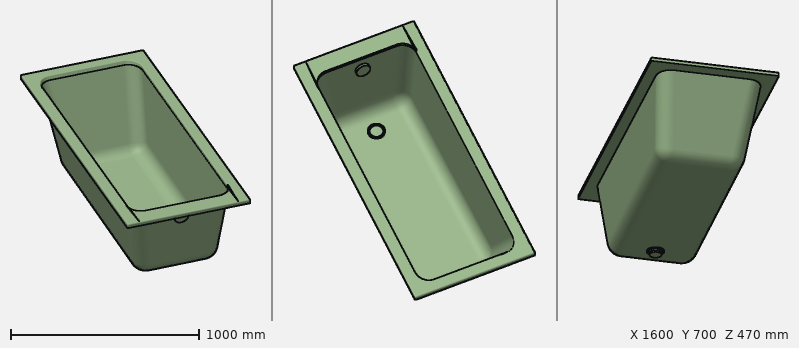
import cadquery as cq
import math


RIM_LENGTH = 1600.0
RIM_WIDTH = 700.0
RIM_HEIGHT = 24.0
RIM_ROUND = 8.0
OVERALL_HEIGHT = 470.0

WALL = 5.0
HEAD_X = -740.0
FOOT_X = 704.0
HALF_WIDTH = 290.0
HEAD_SLOPE = 0.53
FOOT_SLOPE = 0.13
SIDE_SLOPE = 0.12
FLOOR_DEPTH = 445.0
FLOOR_FALL = 0.015
BASIN_ROUND = 83.0
LIP_ROUND = 6.0
CUT_MARGIN = 16.0

DECK_DEPTH = 3.0
DECK_HALF_WIDTH = 282.0
DECK_SIDE_SLOPE = 1.2

DRAIN_X = 500.0
FLANGE_RADIUS = 46.0
FLANGE_PROUD = 2.0
PLUG_RADIUS = 37.0
PLUG_THICKNESS = 5.0
PLUG_CROWN = 2.0
NECK_RADIUS = 40.0
SPIGOT_RADIUS = 32.0

CAP_RADIUS = 40.0
CAP_THICKNESS = 16.0
CAP_DEPTH = 96.0


def normal_stretch(slope):
    """Length along an axis for one unit measured square to a sloping face."""
    return math.hypot(1, slope)


def floor_z(x):
    """Height of the outer floor face."""
    return -FLOOR_DEPTH - FLOOR_FALL * x


def basin(inset, top):
    """Tapered basin block, its faces moved inward by inset, open end at Z = top."""
    head = HEAD_X + inset * normal_stretch(HEAD_SLOPE)
    foot = FOOT_X - inset * normal_stretch(FOOT_SLOPE)
    side = HALF_WIDTH - inset * normal_stretch(SIDE_SLOPE)
    floor = -FLOOR_DEPTH + inset * normal_stretch(FLOOR_FALL)

    def floor_corner(wall_x, run):
        z = (floor - FLOOR_FALL * wall_x) / (1 - FLOOR_FALL * run)
        return (wall_x - run * z, z)

    length_profile = (
        cq.Workplane("XZ")
        .polyline([
            (head - HEAD_SLOPE * top, top),
            (foot + FOOT_SLOPE * top, top),
            floor_corner(foot, -FOOT_SLOPE),
            floor_corner(head, HEAD_SLOPE),
        ])
        .close()
        .extrude(RIM_WIDTH / 2, both=True)
    )
    top_half = side + SIDE_SLOPE * top
    low_half = side - SIDE_SLOPE * OVERALL_HEIGHT
    cross_profile = (
        cq.Workplane("YZ")
        .polyline([
            (-top_half, top),
            (top_half, top),
            (low_half, -OVERALL_HEIGHT),
            (-low_half, -OVERALL_HEIGHT),
        ])
        .close()
        .extrude(RIM_LENGTH / 2, both=True)
    )
    block = length_profile.intersect(cross_profile)
    return block.edges("not >Z").fillet(BASIN_ROUND - inset)


def make_rim():
    plate = cq.Workplane("XY").box(RIM_LENGTH, RIM_WIDTH, RIM_HEIGHT, centered=(True, True, False))
    plate = plate.translate((0, 0, -RIM_HEIGHT))
    return plate.edges("|Z or >Z").fillet(RIM_ROUND)


def deck_recess():
    """Shallow recess in the rim from the basin to the foot end, with slanted side steps."""
    end_x = RIM_LENGTH / 2 - RIM_ROUND
    tilt = math.atan2(DECK_DEPTH, end_x - FOOT_X)
    deck_end = cq.Plane(
        origin=(end_x, 0, 0),
        xDir=(0, -1, 0),
        normal=(-math.cos(tilt), 0, -math.sin(tilt)),
    )
    length = end_x - FOOT_X + BASIN_ROUND
    top_half = DECK_HALF_WIDTH + CUT_MARGIN * DECK_SIDE_SLOPE
    return (
        cq.Workplane(deck_end)
        .polyline([
            (-DECK_HALF_WIDTH, 0),
            (DECK_HALF_WIDTH, 0),
            (top_half, CUT_MARGIN),
            (-top_half, CUT_MARGIN),
        ])
        .close()
        .extrude(length)
    )


def drain_envelope():
    """Outer shape of the drain fitting: flange in the floor, tapered neck and spigot."""
    seat_z = floor_z(DRAIN_X) + WALL
    top_z = seat_z + FLANGE_PROUD
    under_z = floor_z(DRAIN_X)
    flare_z = under_z - (NECK_RADIUS - SPIGOT_RADIUS)
    return (
        cq.Workplane("XZ", origin=(DRAIN_X, 0, 0))
        .polyline([
            (0, top_z),
            (FLANGE_RADIUS, top_z),
            (FLANGE_RADIUS, seat_z - WALL / 2),
            (NECK_RADIUS, seat_z - WALL / 2),
            (NECK_RADIUS, under_z),
            (SPIGOT_RADIUS, flare_z),
            (SPIGOT_RADIUS, -OVERALL_HEIGHT),
            (0, -OVERALL_HEIGHT),
        ])
        .close()
        .revolve(360, (0, 0), (0, 1))
    )


def make_plug():
    top_z = floor_z(DRAIN_X) + WALL + FLANGE_PROUD
    return (
        cq.Workplane("XZ", origin=(DRAIN_X, 0, 0))
        .moveTo(0, top_z - PLUG_THICKNESS)
        .lineTo(PLUG_RADIUS, top_z - PLUG_THICKNESS)
        .lineTo(PLUG_RADIUS, top_z)
        .lineTo(0, top_z + PLUG_CROWN)
        .close()
        .revolve(360, (0, 0), (0, 1))
    )


def make_overflow_cap():
    """Round cap lying flat on the inside of the foot wall."""
    wall_x = FOOT_X - FOOT_SLOPE * CAP_DEPTH - WALL * normal_stretch(FOOT_SLOPE)
    wall_plane = cq.Plane(
        origin=(wall_x, 0, -CAP_DEPTH),
        xDir=(0, 1, 0),
        normal=(-1, 0, FOOT_SLOPE),
    )
    return cq.Workplane(wall_plane).circle(CAP_RADIUS).extrude(CAP_THICKNESS)


def make_tub():
    """Thin basin under a flat rim, with a rounded lip, the deck recess and the drain hole."""
    tub = make_rim().union(basin(0, 0)).cut(basin(WALL, CUT_MARGIN))
    opening_box = cq.selectors.BoxSelector(
        (HEAD_X, -HALF_WIDTH, -LIP_ROUND),
        (FOOT_X, HALF_WIDTH, LIP_ROUND),
    )
    tub = tub.edges(opening_box).fillet(LIP_ROUND)
    return tub.cut(deck_recess()).cut(drain_envelope())


tub = make_tub()
plug = make_plug()
drain = drain_envelope().cut(plug)
overflow_cap = make_overflow_cap()

result = cq.Compound.makeCompound([tub.val(), drain.val(), plug.val(), overflow_cap.val()])